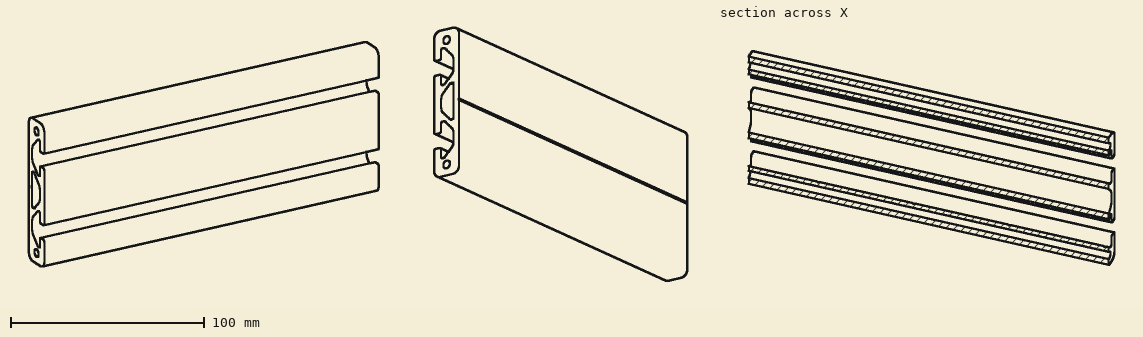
import cadquery as cq
import math

width = 16.0
length = 200.0
height = 80.0
corner_radius = 4.0

hole_diameter = 4.2
hole_inset = 6.0

back_wall = 3.5
lip_thickness = 4.5
cavity_half_height = 10.0
crown_flat = 5.0
crown_radius = 4.0
flank_angle = math.radians(45)
cavity_corner_radius = 0.5

slot_pitch = 40.0
mouth_width = 8.0
lip_radius = 1.2

groove_width = 0.8
groove_depth = 0.5

selection_margin = 0.2

x_left = -width / 2
x_right = width / 2
cavity_left = x_left + back_wall
cavity_right = x_right - lip_thickness


def section():
    """XZ sketch plane on the -Y end of the profile; local Y is Z."""
    return cq.Workplane("XZ", origin=(0, -length / 2, 0))


def arched_cavity(x_crown, x_flat, z_center):
    """Cavity with a flat side, sloped flanks and a crown rounded into a short flat."""
    direction = math.copysign(1, x_flat - x_crown)
    tangent_depth = crown_radius * (1 - math.cos(flank_angle))
    flat_rise = crown_flat / 2
    tangent_rise = flat_rise + crown_radius * math.sin(flank_angle)
    mid_depth = crown_radius * (1 - math.cos(flank_angle / 2))
    mid_rise = flat_rise + crown_radius * math.sin(flank_angle / 2)
    x_mid = x_crown + direction * mid_depth
    flank_run = (cavity_half_height - tangent_rise) / math.tan(flank_angle)
    x_tangent = x_crown + direction * tangent_depth
    x_flank_end = x_tangent + direction * flank_run
    return (
        section()
        .moveTo(x_flat, z_center - cavity_half_height)
        .lineTo(x_flat, z_center + cavity_half_height)
        .lineTo(x_flank_end, z_center + cavity_half_height)
        .lineTo(x_tangent, z_center + tangent_rise)
        .threePointArc((x_mid, z_center + mid_rise), (x_crown, z_center + flat_rise))
        .lineTo(x_crown, z_center - flat_rise)
        .threePointArc((x_mid, z_center - mid_rise), (x_tangent, z_center - tangent_rise))
        .lineTo(x_flank_end, z_center - cavity_half_height)
        .close()
        .extrude(-length)
        .edges(cq.selectors.BoxSelector(
            (x_flat - selection_margin, -length, z_center - height),
            (x_flat + selection_margin, length, z_center + height),
        ))
        .edges("|Y")
        .fillet(cavity_corner_radius)
    )


def slot_mouth(z_center):
    """Opening that joins a slot cavity to the +X face."""
    cavity_middle = (cavity_left + cavity_right) / 2
    return cq.Workplane("XY").box(
        x_right - cavity_middle, length, mouth_width
    ).translate(((x_right + cavity_middle) / 2, 0, z_center))


result = cq.Workplane("XY").box(width, length, height).edges("|Y").fillet(corner_radius)

result = result.cut(arched_cavity(cavity_right, cavity_left, 0))

slot_centers = (-slot_pitch / 2, slot_pitch / 2)
for z_slot in slot_centers:
    result = result.cut(arched_cavity(cavity_left, cavity_right, z_slot))
    result = result.cut(slot_mouth(z_slot))

for z_slot in slot_centers:
    mouth_region = cq.selectors.BoxSelector(
        (cavity_right - selection_margin, -length, z_slot - mouth_width / 2 - selection_margin),
        (x_right + selection_margin, length, z_slot + mouth_width / 2 + selection_margin),
    )
    result = result.edges("|Y").edges(mouth_region).fillet(lip_radius)

hole_z = height / 2 - hole_inset
holes = (
    section()
    .pushPoints([(0, -hole_z), (0, hole_z)])
    .circle(hole_diameter / 2)
    .extrude(-length)
)
result = result.cut(holes)

groove = (
    section()
    .moveTo(x_left, -groove_width / 2)
    .lineTo(x_left + groove_depth, 0)
    .lineTo(x_left, groove_width / 2)
    .close()
    .extrude(-length)
)
result = result.cut(groove)